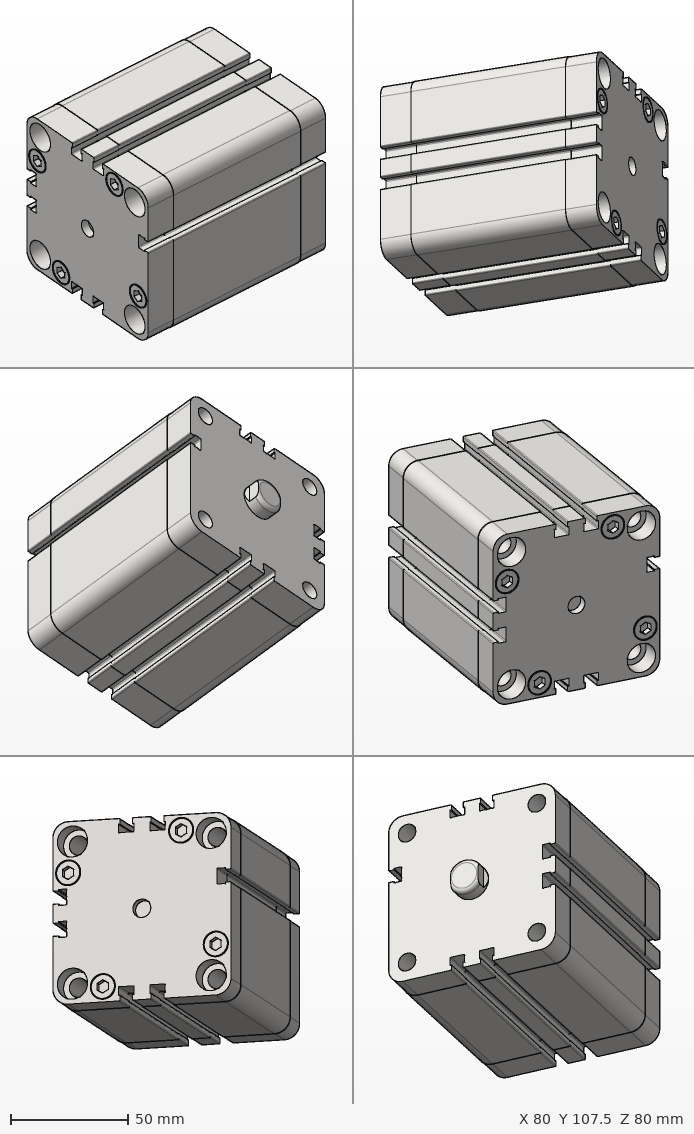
import cadquery as cq
import math


barrel_width = 80.0
cap_width = 79.6
barrel_corner_radius = 7.0
cap_corner_radius = barrel_corner_radius - (barrel_width - cap_width) / 2
housing_length = 100.0
cap_length = 14.2
front_y = 0.0
rear_y = front_y + housing_length

slot_offset = 7.0
single_slot_offset = 12.0
slot_mouth = 5.6
slot_inner_width = 6.9
slot_lip = 2.5
slot_depth = 6.2
slot_mouth_radius = 0.4
slot_floor_radius = 0.4

mount_spacing = 62.0
mount_hole_diameter = 8.38
mount_bore_diameter = 13.5
mount_bore_depth = 9.0

screw_near = 17.5
screw_far = 33.0
screw_head_diameter = 10.5
screw_bore_diameter = 11.1
screw_gap_depth = 0.5
hex_across_flats = 5.0
hex_depth = 3.0

center_hole_diameter = 8.0
center_hole_depth = 4.0

rod_diameter = 16.0
rod_length = 7.5
rod_end_fillet = 2.0
flat_spacing = 13.0
flat_length = 5.7
flat_runout = (rod_diameter - flat_spacing) / 2


def plane_at(y):
    """XZ workplane at the given Y, extruding toward +Y, with local x = -X and local y = Z."""
    return cq.Workplane(cq.Plane(origin=(0, y, 0), xDir=(-1, 0, 0), normal=(0, 1, 0)))


def rounded_block(width, corner_radius, y, length):
    return plane_at(y).rect(width, width).extrude(length).edges("|Y").fillet(corner_radius)


def cylinders(points, diameter, y, length):
    """Cylinders along +Y at the given (X, Z) points."""
    local_points = [(-x, z) for x, z in points]
    return plane_at(y).pushPoints(local_points).circle(diameter / 2).extrude(length)


def slot(width, y, length, side_angle, offset):
    """Slot in the top side of a block at X = offset, turned about Y onto another side.

    All depths are taken from the block's own surface, so the slot floor steps down
    slightly from the barrel to the narrower caps.
    """
    surface = width / 2
    lip_bottom = surface - slot_lip
    floor = surface - slot_depth
    mouth_side = slot_mouth / 2
    inner_side = slot_inner_width / 2
    arc_middle_factor = 1 - math.sqrt(0.5)
    mouth_arc_shift = slot_mouth_radius * arc_middle_factor
    floor_arc_shift = slot_floor_radius * arc_middle_factor
    cutter = (
        plane_at(y)
        .moveTo(0, surface)
        .lineTo(mouth_side + slot_mouth_radius, surface)
        .threePointArc(
            (mouth_side + mouth_arc_shift, surface - mouth_arc_shift),
            (mouth_side, surface - slot_mouth_radius),
        )
        .lineTo(mouth_side, lip_bottom)
        .lineTo(inner_side, lip_bottom)
        .lineTo(inner_side, floor + slot_floor_radius)
        .threePointArc(
            (inner_side - floor_arc_shift, floor + floor_arc_shift),
            (inner_side - slot_floor_radius, floor),
        )
        .lineTo(0, floor)
        .mirrorY()
        .extrude(length)
    )
    return cutter.translate((offset, 0, 0)).rotate((0, 0, 0), (0, 1, 0), side_angle)


def slotted_block(width, corner_radius, y, length):
    """Rounded block with two slots on the top, bottom and left sides and one on the right."""
    block = rounded_block(width, corner_radius, y, length)
    top, right, bottom, left = 0, 90, 180, 270
    for side_angle in (top, bottom, left):
        for offset in (-slot_offset, slot_offset):
            block = block.cut(slot(width, y, length, side_angle, offset))
    return block.cut(slot(width, y, length, right, -single_slot_offset))


def housing():
    barrel_length = housing_length - 2 * cap_length
    barrel = slotted_block(barrel_width, barrel_corner_radius, front_y + cap_length, barrel_length)
    front_cap = slotted_block(cap_width, cap_corner_radius, front_y, cap_length)
    rear_cap = slotted_block(cap_width, cap_corner_radius, rear_y - cap_length, cap_length)
    return barrel.union(front_cap).union(rear_cap)


def cut_mounting_holes(body):
    half = mount_spacing / 2
    points = [(x, z) for x in (-half, half) for z in (-half, half)]
    body = body.cut(cylinders(points, mount_hole_diameter, front_y, housing_length))
    return body.cut(cylinders(points, mount_bore_diameter, front_y, mount_bore_depth))


def cut_screws(body):
    """Ring gap around each flush screw head and the hexagon socket in it."""
    points = [
        (screw_near, screw_far),
        (screw_far, -screw_near),
        (-screw_near, -screw_far),
        (-screw_far, screw_near),
    ]
    bores = cylinders(points, screw_bore_diameter, front_y, screw_gap_depth)
    heads = cylinders(points, screw_head_diameter, front_y, screw_gap_depth)
    body = body.cut(bores.cut(heads))
    hex_across_corners = hex_across_flats / math.cos(math.pi / 6)
    for x, z in points:
        socket = plane_at(front_y).polygon(6, hex_across_corners).extrude(hex_depth)
        socket = socket.rotate((0, 0, 0), (0, 1, 0), 90)
        body = body.cut(socket.translate((x, 0, z)))
    return body


def cut_center_hole(body):
    return body.cut(cylinders([(0, 0)], center_hole_diameter, front_y, center_hole_depth))


def piston_rod():
    rod = cylinders([(0, 0)], rod_diameter, rear_y, rod_length)
    rod = rod.faces(">Y").edges().fillet(rod_end_fillet)
    end_y = rear_y + rod_length
    flat_x = flat_spacing / 2
    outer_x = rod_diameter / 2
    flat_end_y = end_y - flat_length
    cutter = (
        cq.Workplane("XY")
        .moveTo(flat_x, end_y)
        .lineTo(flat_x, flat_end_y)
        .lineTo(outer_x, flat_end_y - flat_runout)
        .lineTo(outer_x, end_y)
        .close()
        .extrude(rod_diameter / 2, both=True)
    )
    return rod.cut(cutter).cut(cutter.mirror("YZ"))


body = housing()
body = cut_mounting_holes(body)
body = cut_screws(body)
body = cut_center_hole(body)
result = body.union(piston_rod())